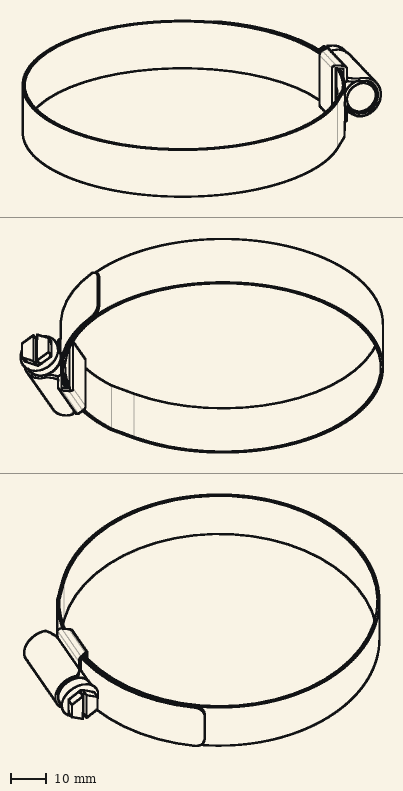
import cadquery as cq
import math


band_radius = 45.03
band_thickness = 0.6
band_width = 14.4
layer_gap = 0.02
ramp_start = 54.7
ramp_end = 64.7
inner_end = 85.0
tail_end = 150.0
tail_corner_radius = 2.8
turn = 360.0

overall_top = 55.7
barrel_radius = 5.9
barrel_half_length = 10.5
axis_y = overall_top - barrel_radius
wall = 0.9
bridge_half_height = 8.65
bridge_top = 46.85
bridge_bottom = 43.1
bridge_corner_radius = 1.0
bridge_top_half_length = 7.1
bridge_bottom_half_length = 4.95
barrel_side_bottom = 49.1
scoop_mid_x = 9.0
scoop_mid_y = 47.75

shank_radius = barrel_radius - wall
shank_chamfer = 0.7
flange_radius = 5.65
flange_x = -14.3
flange_front_x = -15.15
flange_dome_x = -14.9
flange_dome_radius = 5.05
flare_mid_x = -12.6
flare_mid_radius = 5.2
neck_radius = 5.1
hex_across_flats = 8.0
head_x = -17.5
slot_width = 1.1
slot_depth = 2.15


def polar(radius, angle):
    """Point in the XY plane at an angle in degrees."""
    a = math.radians(angle)
    return (radius * math.cos(a), radius * math.sin(a))


def make_shank():
    """Cylinder of the screw inside the housing."""
    return (
        cq.Workplane("YZ", origin=(-barrel_half_length, axis_y, 0))
        .circle(shank_radius)
        .extrude(2 * barrel_half_length)
        .faces(">X")
        .chamfer(shank_chamfer)
    )


def make_band():
    """One strip that runs a full turn, climbs over its inner end and ends in an outer tail."""
    outer = band_radius
    inner = outer - band_thickness
    tail_inner = outer + layer_gap
    tail_outer = tail_inner + band_thickness
    ring_middle = (inner_end + turn + ramp_start) / 2
    tail_middle = (ramp_end + tail_end) / 2

    strip = (
        cq.Workplane("XY")
        .moveTo(*polar(inner, inner_end))
        .threePointArc(polar(inner, ring_middle), polar(inner, ramp_start))
        .lineTo(*polar(tail_inner, ramp_end))
        .threePointArc(polar(tail_inner, tail_middle), polar(tail_inner, tail_end))
        .lineTo(*polar(tail_outer, tail_end))
        .threePointArc(polar(tail_outer, tail_middle), polar(tail_outer, ramp_end))
        .lineTo(*polar(outer, ramp_start))
        .threePointArc(polar(outer, ring_middle), polar(outer, inner_end))
        .close()
        .extrude(band_width / 2, both=True)
    )
    tail_direction = cq.Vector(*polar(1, tail_end), 0)
    tail_corners = cq.selectors.ParallelDirSelector(tail_direction)
    strip = strip.edges(tail_corners).fillet(tail_corner_radius)
    return strip.cut(make_shank())


def housing_side_limit():
    """Outline in XY that bounds the housing: long barrel above, tapering bridge below."""
    return (
        cq.Workplane("XY")
        .moveTo(-barrel_half_length, overall_top)
        .lineTo(barrel_half_length, overall_top)
        .lineTo(barrel_half_length, barrel_side_bottom)
        .threePointArc((scoop_mid_x, scoop_mid_y), (bridge_top_half_length, bridge_top))
        .lineTo(bridge_bottom_half_length, bridge_bottom)
        .lineTo(-bridge_bottom_half_length, bridge_bottom)
        .lineTo(-bridge_top_half_length, bridge_top)
        .threePointArc((-scoop_mid_x, scoop_mid_y), (-barrel_half_length, barrel_side_bottom))
        .close()
        .extrude(bridge_half_height, both=True)
    )


def x_block(y_low, y_high, half_height):
    """Block along the housing's full length between two Y levels."""
    block = cq.Workplane("XY").box(2 * barrel_half_length, y_high - y_low, 2 * half_height)
    return block.translate((0, (y_low + y_high) / 2, 0))


def make_housing():
    """Barrel around the screw with a rectangular loop that holds the band."""
    barrel = (
        cq.Workplane("YZ", origin=(0, axis_y, 0))
        .circle(barrel_radius)
        .extrude(barrel_half_length, both=True)
    )
    loop = x_block(bridge_bottom, bridge_top, bridge_half_height)
    loop = loop.edges("|X").fillet(bridge_corner_radius)
    window = x_block(bridge_bottom + wall, bridge_top - wall, bridge_half_height - wall)
    bore = (
        cq.Workplane("YZ", origin=(0, axis_y, 0))
        .circle(shank_radius)
        .extrude(barrel_half_length, both=True)
    )
    return barrel.union(loop).cut(bore).cut(window).intersect(housing_side_limit())


def make_screw():
    """Shank, flared flange and slotted hexagon head."""
    flange = (
        cq.Workplane("XY")
        .moveTo(-barrel_half_length, 0)
        .lineTo(-barrel_half_length, neck_radius)
        .threePointArc((flare_mid_x, flare_mid_radius), (flange_x, flange_radius))
        .threePointArc((flange_dome_x, flange_dome_radius), (flange_front_x, hex_across_flats / 2))
        .lineTo(flange_front_x, 0)
        .close()
        .revolve(360, (0, 0, 0), (1, 0, 0))
        .translate((0, axis_y, 0))
    )
    hex_corner_diameter = hex_across_flats / math.cos(math.radians(30))
    head = (
        cq.Workplane("YZ", origin=(head_x, axis_y, 0))
        .transformed(rotate=(0, 0, 90))
        .polygon(6, hex_corner_diameter)
        .extrude(flange_front_x - head_x)
    )
    slot = cq.Workplane("XY").box(slot_depth, slot_width, hex_corner_diameter)
    slot = slot.translate((head_x + slot_depth / 2, axis_y, 0))
    return make_shank().union(flange).union(head).cut(slot)


band = make_band()
housing = make_housing()
screw = make_screw()

result = cq.Compound.makeCompound([band.solids().val(), housing.solids().val(), screw.solids().val()])